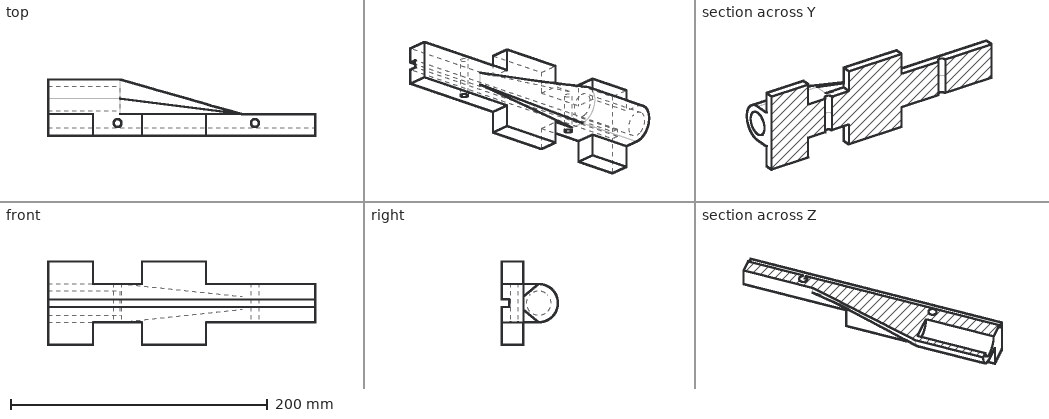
import cadquery as cq

RAIL_LENGTH = 208.0
RAIL_WIDTH = 30.0
RAIL_THICKNESS = 17.0

LUG_WIDTH = 65.0
END_LUG_LENGTH = 35.0
MIDDLE_LUG_START = 73.0
MIDDLE_LUG_LENGTH = 50.0

GROOVE_SIZE = 6.0

SOCKET_LENGTH = 56.0
SOCKET_RADIUS = RAIL_WIDTH / 2
SOCKET_AXIS_Y = 29.0
BORE_DIAMETER = 19.0

TAIL_END_X = 151.0
TAIL_END_WIDTH = 10.0

CROSS_HOLE_DIAMETER = 6.0
CROSS_HOLE_Y = 10.0
CROSS_HOLE_X = (54.0, 161.0)


def front_bar(start_x, length, thickness, width):
    """Bar rising from the front face Y = 0, centred on Z = 0."""
    bar = cq.Workplane("XY").box(length, thickness, width, centered=(False, False, True))
    return bar.translate((start_x, 0, 0))


def rail():
    """Rail with its two cross lugs."""
    body = front_bar(0, RAIL_LENGTH, RAIL_THICKNESS, RAIL_WIDTH)
    end_lug = front_bar(0, END_LUG_LENGTH, RAIL_THICKNESS, LUG_WIDTH)
    middle_lug = front_bar(MIDDLE_LUG_START, MIDDLE_LUG_LENGTH, RAIL_THICKNESS, LUG_WIDTH)
    return body.union(end_lug).union(middle_lug)


def socket():
    """D-shaped prism standing on the back of the rail."""
    return (
        cq.Workplane("YZ")
        .moveTo(RAIL_THICKNESS, -SOCKET_RADIUS)
        .lineTo(SOCKET_AXIS_Y, -SOCKET_RADIUS)
        .threePointArc((SOCKET_AXIS_Y + SOCKET_RADIUS, 0), (SOCKET_AXIS_Y, SOCKET_RADIUS))
        .lineTo(RAIL_THICKNESS, SOCKET_RADIUS)
        .close()
        .extrude(SOCKET_LENGTH)
    )


def flat_face(*corners):
    return cq.Face.makeFromWires(cq.Wire.makePolygon(corners, close=True))


def tail():
    """Straight-sided taper from the end of the socket to a short edge on the rail's back face."""
    lower_root = cq.Vector(SOCKET_LENGTH, RAIL_THICKNESS, -SOCKET_RADIUS)
    upper_root = cq.Vector(SOCKET_LENGTH, RAIL_THICKNESS, SOCKET_RADIUS)
    lower_shoulder = cq.Vector(SOCKET_LENGTH, SOCKET_AXIS_Y, -SOCKET_RADIUS)
    upper_shoulder = cq.Vector(SOCKET_LENGTH, SOCKET_AXIS_Y, SOCKET_RADIUS)
    crown = cq.Vector(SOCKET_LENGTH, SOCKET_AXIS_Y + SOCKET_RADIUS, 0)
    lower_tip = cq.Vector(TAIL_END_X, RAIL_THICKNESS, -TAIL_END_WIDTH / 2)
    upper_tip = cq.Vector(TAIL_END_X, RAIL_THICKNESS, TAIL_END_WIDTH / 2)

    arc = cq.Edge.makeThreePointArc(lower_shoulder, crown, upper_shoulder)
    tip_edge = cq.Edge.makeLine(lower_tip, upper_tip)
    outline = cq.Wire.assembleEdges(
        [
            cq.Edge.makeLine(lower_root, lower_shoulder),
            arc,
            cq.Edge.makeLine(upper_shoulder, upper_root),
            cq.Edge.makeLine(upper_root, lower_root),
        ]
    )
    faces = [
        cq.Face.makeFromWires(outline),
        cq.Face.makeRuledSurface(arc, tip_edge),
        flat_face(lower_root, lower_shoulder, lower_tip),
        flat_face(upper_root, upper_shoulder, upper_tip),
        flat_face(lower_root, lower_tip, upper_tip, upper_root),
    ]
    return cq.Workplane(cq.Solid.makeSolid(cq.Shell.makeShell(faces)))


def groove():
    return front_bar(0, RAIL_LENGTH, GROOVE_SIZE, GROOVE_SIZE)


def bore():
    return cq.Workplane("YZ").center(SOCKET_AXIS_Y, 0).circle(BORE_DIAMETER / 2).extrude(SOCKET_LENGTH)


def cross_holes():
    return (
        cq.Workplane("XY")
        .pushPoints([(x, CROSS_HOLE_Y) for x in CROSS_HOLE_X])
        .circle(CROSS_HOLE_DIAMETER / 2)
        .extrude(RAIL_WIDTH / 2, both=True)
    )


body = rail().union(socket()).union(tail())
result = body.cut(groove()).cut(bore()).cut(cross_holes())